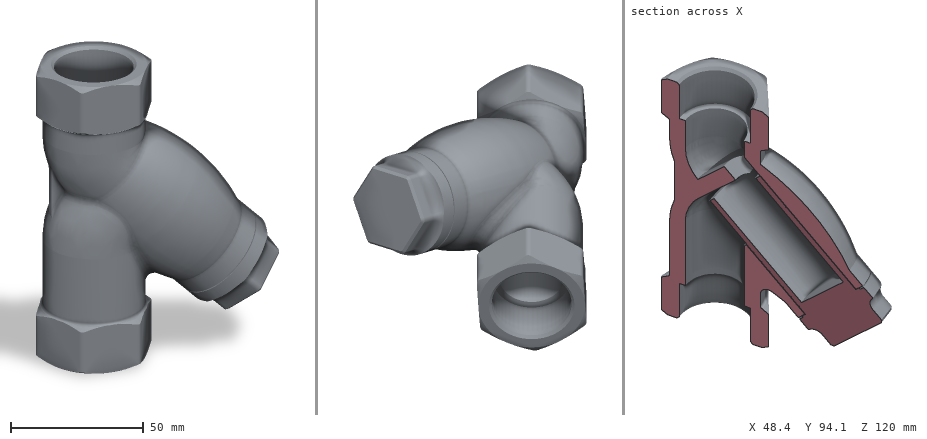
import cadquery as cq
import math

TOTAL_HEIGHT = 120.0
MID_HEIGHT = 69.4
BEND_START_FROM_MID = 21.8
BEND_ANGLE = 45.0
PIPE_RADIUS = 19.5
PIPE_BEND_RADIUS = 15.6
BORE_RADIUS = 12.5
BORE_BEND_RADIUS = 7.2
TOLERANCE = 0.01
SQRT2 = math.sqrt(2)
BEND_TANGENT = math.tan(math.radians(BEND_ANGLE / 2))

NUT_FLATS = 40.3
NUT_HEIGHT = 19.9
NUT_CORNER_RADIUS = 2.2
NUT_CHAMFER_ANGLE = 30.0
NUT_NECK_FILLET = 1.0
THREAD_RADIUS = 15.1
THREAD_DEPTH = 18.0
THREAD_CHAMFER = 1.1

BRANCH_START = PIPE_BEND_RADIUS * BEND_TANGENT
BRANCH_AXIS_HEIGHT = MID_HEIGHT + BEND_START_FROM_MID - BRANCH_START
BULGE_START = BRANCH_START + 1.2
BULGE_END = 61.8
BULGE_RADIUS = 24.2
BULGE_BLEND_RADIUS = 6.0
BRANCH_END = 69.8
BRANCH_OVERLAP = 1.0
CHAMBER_RADIUS = THREAD_RADIUS
CHAMBER_START = BORE_BEND_RADIUS * BEND_TANGENT

INLET_BEYOND_BRANCH_AXIS = 3.4
INLET_END = SQRT2 * (BRANCH_AXIS_HEIGHT - MID_HEIGHT) + INLET_BEYOND_BRANCH_AXIS

INLET_FILLET = 3.4
WEB_THICKNESS = 3.1
WEB_HEIGHT = 21.6
WEB_BACK = 17.4
WEB_DEPTH = 7.8
WEB_FILLET = 0.8

SEAT_GAP = 0.5
SEAT_RADIUS = 17.3
BASKET_START = 12.0
BASKET_FLOOR = 64.8
FLANGE_END = 76.0
PLUG_END = 86.3
PLUG_FLATS = 30.7
PLUG_CORNER_RADIUS = 2.2
PLUG_CHAMFER = 1.0
PLUG_NECK_FILLET = 4.1

BRANCH_PLANE = cq.Plane(origin=(0, 0, BRANCH_AXIS_HEIGHT), xDir=(1, 0, 0), normal=(0, 1, -1))
BRANCH_PROFILE_PLANE = cq.Plane(
    origin=(0, 0, BRANCH_AXIS_HEIGHT), xDir=(0, 1, 1), normal=(-1, 0, 0)
)


def branch_cylinder(radius, start, end):
    return cq.Workplane(BRANCH_PLANE).workplane(offset=start).circle(radius).extrude(end - start)


def turned(profile):
    """Turn a profile about the local Y axis of its plane."""
    return profile.revolve(360, (0, 0, 0), (0, 1, 0))


def rounded_hexagon(workplane, flats, corner_radius, height):
    """Hexagonal prism with two corners on local X and rounded edges."""
    prism = workplane.polygon(6, flats / math.cos(math.pi / 6)).extrude(height)
    direction = workplane.plane.zDir
    return prism.edges(cq.selectors.ParallelDirSelector(direction)).fillet(corner_radius)


def bent_pipe(radius, bend_radius, top, end):
    """Round bar from height `top` down the run, bent into the branch as far as `end`."""
    bend_height = BRANCH_AXIS_HEIGHT + bend_radius * BEND_TANGENT
    straight = cq.Workplane("XY", origin=(0, 0, bend_height)).circle(radius).extrude(top - bend_height)
    half_chord = math.sqrt(radius**2 - bend_radius**2)
    elbow = (
        cq.Workplane("XY", origin=(0, 0, bend_height))
        .moveTo(-half_chord, bend_radius)
        .threePointArc((0, -radius), (half_chord, bend_radius))
        .close()
        .revolve(BEND_ANGLE, (0, bend_radius, 0), (1, bend_radius, 0))
    )
    slanted = branch_cylinder(radius, bend_radius * BEND_TANGENT, end)
    return straight.union(elbow).union(slanted)


def mirrored_to_inlet(shape):
    return shape.mirror("XY", (0, 0, MID_HEIGHT))


def upper_run():
    return bent_pipe(PIPE_RADIUS, PIPE_BEND_RADIUS, TOTAL_HEIGHT, BRANCH_START + BRANCH_OVERLAP)


def inlet_run():
    """Lower pipe up to the end of the inlet inside the chamber."""
    return mirrored_to_inlet(
        bent_pipe(PIPE_RADIUS, PIPE_BEND_RADIUS, 2 * MID_HEIGHT, INLET_END)
    )


def branch_shell():
    """Bulged barrel that grows out of the upper bend through a small concave blend."""
    half_length = (BULGE_END - BULGE_START) / 2
    rise = BULGE_RADIUS - PIPE_RADIUS
    bulge_arc = (half_length**2 + rise**2) / (2 * rise)
    bulge_middle = BULGE_START + half_length

    blend_centre_radius = PIPE_RADIUS + BULGE_BLEND_RADIUS
    centre_distance = bulge_arc + BULGE_BLEND_RADIUS
    tilt = math.asin((blend_centre_radius + bulge_arc - BULGE_RADIUS) / centre_distance)
    blend_start = bulge_middle - centre_distance * math.cos(tilt)

    def blend_point(angle):
        return (
            blend_centre_radius - BULGE_BLEND_RADIUS * math.sin(angle),
            blend_start + BULGE_BLEND_RADIUS * math.cos(angle),
        )

    profile = (
        cq.Workplane(BRANCH_PROFILE_PLANE)
        .moveTo(0, blend_start)
        .lineTo(PIPE_RADIUS, blend_start)
        .threePointArc(blend_point((math.pi / 2 + tilt) / 2), blend_point(tilt))
        .threePointArc((BULGE_RADIUS, bulge_middle), (PIPE_RADIUS, BULGE_END))
        .lineTo(PIPE_RADIUS, BRANCH_END)
        .lineTo(0, BRANCH_END)
        .close()
    )
    return turned(profile)


def is_inlet_seam(edge):
    """True for the crease where the inlet meets the upper bend and the branch."""
    middle = edge.positionAt(0.5)
    return edge.geomType() == "BSPLINE" and middle.z < MID_HEIGHT + INLET_FILLET


def fillet_inlet(shell):
    seam = [edge for edge in shell.edges().vals() if is_inlet_seam(edge)]
    return shell.newObject(seam).fillet(INLET_FILLET)


def is_web_root(edge):
    """True for the creases where the sides of the web meet the bends."""
    middle = edge.positionAt(0.5)
    on_side = abs(abs(middle.x) - WEB_THICKNESS / 2) < TOLERANCE
    return on_side and edge.geomType() != "LINE" and middle.y < 0


def add_web(shell):
    """Web that bridges the crease between the bends, with filleted roots."""
    web = cq.Workplane("XY").box(WEB_THICKNESS, WEB_DEPTH, WEB_HEIGHT).translate(
        (0, WEB_DEPTH / 2 - WEB_BACK, MID_HEIGHT)
    )
    webbed = shell.union(web)
    roots = [edge for edge in webbed.edges().vals() if is_web_root(edge)]
    return webbed.newObject(roots).fillet(WEB_FILLET)


def end_nut():
    """Lower hexagon, both ends chamfered, with a small fillet up to the pipe; corners on Y."""
    hexagon = rounded_hexagon(
        cq.Workplane("XY").transformed(rotate=(0, 0, 90)), NUT_FLATS, NUT_CORNER_RADIUS, NUT_HEIGHT
    )
    flat_radius = NUT_FLATS / 2
    corner_reach = flat_radius / math.cos(math.pi / 6)
    chamfer_drop = (corner_reach - flat_radius) * math.tan(math.radians(NUT_CHAMFER_ANGLE))
    chamfered_bar = turned(
        cq.Workplane("XZ")
        .lineTo(flat_radius, 0)
        .lineTo(corner_reach, chamfer_drop)
        .lineTo(corner_reach, NUT_HEIGHT - chamfer_drop)
        .lineTo(flat_radius, NUT_HEIGHT)
        .lineTo(0, NUT_HEIGHT)
        .close()
    )
    fillet_reach = PIPE_RADIUS + NUT_NECK_FILLET
    fillet_top = NUT_HEIGHT + NUT_NECK_FILLET
    middle_shift = NUT_NECK_FILLET / SQRT2
    neck = turned(
        cq.Workplane("XZ")
        .moveTo(0, NUT_HEIGHT)
        .lineTo(fillet_reach, NUT_HEIGHT)
        .threePointArc(
            (fillet_reach - middle_shift, fillet_top - middle_shift), (PIPE_RADIUS, fillet_top)
        )
        .lineTo(0, fillet_top)
        .close()
    )
    return hexagon.intersect(chamfered_bar).union(neck)


def thread_hole():
    """Threaded hole up from the bottom face, with a chamfered mouth."""
    return turned(
        cq.Workplane("XZ")
        .lineTo(THREAD_RADIUS + THREAD_CHAMFER, 0)
        .lineTo(THREAD_RADIUS, THREAD_CHAMFER)
        .lineTo(THREAD_RADIUS, THREAD_DEPTH)
        .lineTo(0, THREAD_DEPTH)
        .close()
    )


def make_housing():
    inlet = inlet_run()
    housing = add_web(fillet_inlet(upper_run().union(branch_shell()).union(inlet)))

    outlet_bore = bent_pipe(BORE_RADIUS, BORE_BEND_RADIUS, TOTAL_HEIGHT, BASKET_START)
    chamber = branch_cylinder(CHAMBER_RADIUS, CHAMBER_START, BASKET_START)
    basket_bore = branch_cylinder(CHAMBER_RADIUS, BASKET_START, BRANCH_END)
    housing = housing.cut(outlet_bore.union(chamber).cut(inlet)).cut(basket_bore)

    inlet_bore = mirrored_to_inlet(
        bent_pipe(BORE_RADIUS, BORE_BEND_RADIUS, 2 * MID_HEIGHT, INLET_END)
    )
    housing = housing.cut(inlet_bore)

    nut = end_nut().cut(cq.Workplane("XY").circle(BORE_RADIUS).extrude(NUT_HEIGHT + NUT_NECK_FILLET))
    hole = thread_hole()
    top_end = (0, 0, TOTAL_HEIGHT / 2)
    for end_part in (nut, nut.mirror("XY", top_end)):
        housing = housing.union(end_part)
    for end_hole in (hole, hole.mirror("XY", top_end)):
        housing = housing.cut(end_hole)
    return housing


def is_head_root(edge):
    """True for the edges where the hexagon head stands on the flange."""
    middle = BRANCH_PLANE.toLocalCoords(edge.positionAt(0.5))
    on_flange_face = abs(middle.z - FLANGE_END) < TOLERANCE
    return on_flange_face and math.hypot(middle.x, middle.y) < PIPE_RADIUS


def plug_head():
    """Flange and chamfered hexagon; the fillet between them is cut off at the flange rim."""
    hexagon = rounded_hexagon(
        cq.Workplane(BRANCH_PLANE).workplane(offset=FLANGE_END),
        PLUG_FLATS,
        PLUG_CORNER_RADIUS,
        PLUG_END - FLANGE_END,
    )
    hexagon = hexagon.faces(cq.selectors.DirectionMinMaxSelector(BRANCH_PLANE.zDir)).chamfer(PLUG_CHAMFER)
    flange_start = BRANCH_END + SEAT_GAP
    wide_flange = branch_cylinder(PLUG_FLATS, flange_start, FLANGE_END)
    head = wide_flange.union(hexagon)
    roots = [edge for edge in head.edges().vals() if is_head_root(edge)]
    filleted = head.newObject(roots).fillet(PLUG_NECK_FILLET)
    return filleted.intersect(branch_cylinder(PIPE_RADIUS, flange_start, PLUG_END))


def make_plug():
    """Plug with an open basket along the chamber, a seat ring, a flange and a hexagon head."""
    basket = branch_cylinder(CHAMBER_RADIUS, BASKET_START, BRANCH_END).cut(
        branch_cylinder(BORE_RADIUS, BASKET_START, BASKET_FLOOR)
    )
    seat = branch_cylinder(SEAT_RADIUS, BRANCH_END, BRANCH_END + SEAT_GAP)
    return basket.union(seat).union(plug_head())


housing = make_housing()
plug = make_plug()
result = cq.Compound.makeCompound([housing.val(), plug.val()])